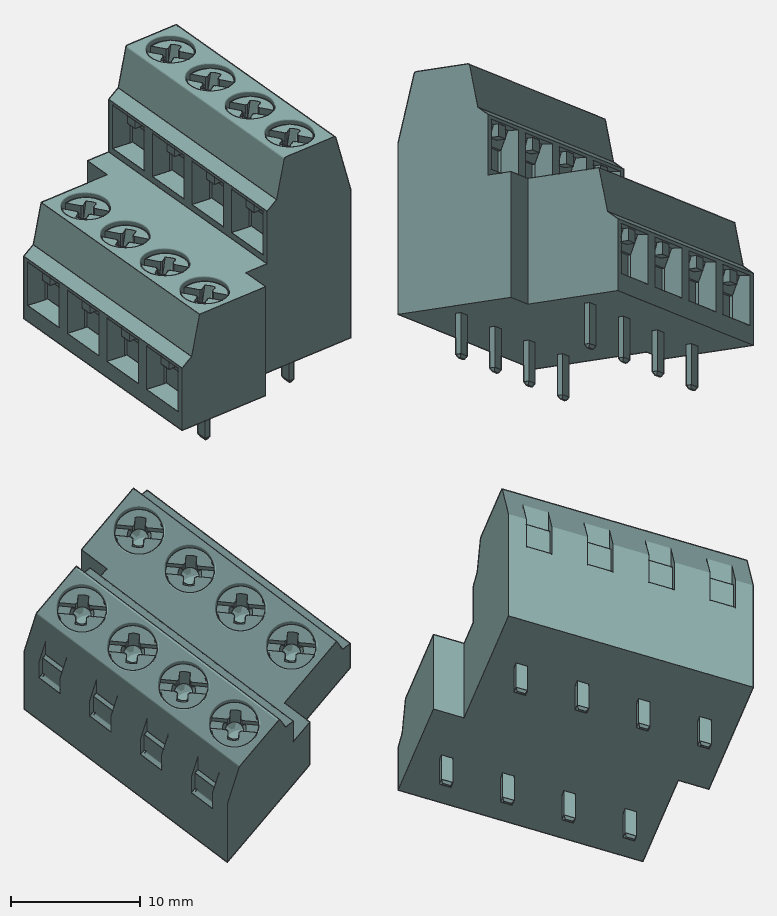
import cadquery as cq


poles = 4
total_length = 22.5
total_height = 22.6
pitch = total_length / (poles + 0.5)
half_pitch = pitch / 2
tier_length = poles * pitch
depth = 18.3
step_y = 8.11
tier_offset_y = 10.17
tier_offset_z = 9.09
lower_height = 10.0
upper_height = lower_height + tier_offset_z
brow_low_z = 5.72
brow_high_y = 0.93
brow_high_z = 6.42
top_front_y = 1.7
back_slope_z = 13.6
back_slope_depth = 1.5
top_edge_radius = 0.23

opening_size = 3.98
opening_low_z = 1.47
taper_depth = 1.25
throat_width = 2.82
throat_low_z = 1.79
throat_high_z = 3.86
throat_depth = 1.5
ceiling_flat_depth = 0.75
tab_width = 1.0
tab_height = 1.0
tab_front_y = 0.27

screw_y = 4.14
mouth_diameter = 4.05
mouth_radius = 0.14
head_sink = 0.38
head_edge_radius = 0.1
drive_angle = 33
slot_width = 0.85
slot_depth = 0.77
cross_width = 0.84
cross_top_radius = 1.25
drive_radius = 0.7
drive_depth = 1.27
drive_tip_depth = 0.3

notch_width = 2.08
notch_depth = 0.45
notch_floor_z = 10.0
ledge_depth = 0.81
ledge_z = back_slope_z
notch_fillet = 0.18
notch_fillet_inset = 0.18

pin_width = 0.95
pin_thickness = 0.47
pin_length = total_height - upper_height
pin_tip_length = 0.27
pin_tip_inset = 0.15
pin_y = 4.02
pin_row_spacing = 10.08


def tier_front(offset_y, offset_z):
    """Front outline of a tier, from the face with the wire openings up to the top."""
    points = [
        (0, brow_low_z),
        (brow_high_y, brow_high_z),
        (top_front_y, lower_height),
    ]
    return [(y + offset_y, z + offset_z) for y, z in points]


def extrude_side(points, start_x, length):
    """Extrude a Y-Z outline along X."""
    return cq.Workplane("YZ").workplane(offset=start_x).polyline(points).close().extrude(length)


def centred_bar(length_x, length_y, low_z, high_z):
    """A box centred on the Z axis between two heights."""
    return cq.Workplane("XY", origin=(0, 0, low_z)).rect(length_x, length_y).extrude(high_z - low_z)


def housing():
    lower_outline = [(0, 0)] + tier_front(0, 0) + [(step_y, lower_height), (step_y, 0)]
    upper_outline = (
        [(step_y, 0), (step_y, lower_height), (tier_offset_y, lower_height)]
        + tier_front(tier_offset_y, tier_offset_z)
        + [(depth - back_slope_depth, upper_height), (depth, back_slope_z), (depth, 0)]
    )
    upper = extrude_side(upper_outline, 0, tier_length)
    upper = upper.faces(">Z").edges("|X").fillet(top_edge_radius)
    return upper.union(extrude_side(lower_outline, half_pitch, tier_length))


def wire_opening():
    """Cutter for one wire opening, centred on X = 0 with its mouth at Y = 0."""
    opening_high_z = opening_low_z + opening_size
    opening_middle_z = (opening_low_z + opening_high_z) / 2
    funnel_end_height = opening_high_z - throat_low_z
    funnel_end_middle_z = (throat_low_z + opening_high_z) / 2
    funnel = (
        cq.Workplane("XZ", origin=(0, 0, opening_middle_z))
        .rect(opening_size, opening_size)
        .workplane(offset=-taper_depth)
        .center(0, funnel_end_middle_z - opening_middle_z)
        .rect(throat_width, funnel_end_height)
        .loft()
    )
    ceiling_slope = extrude_side(
        [
            (ceiling_flat_depth, opening_high_z),
            (taper_depth, opening_high_z),
            (taper_depth, throat_high_z),
        ],
        -opening_size / 2,
        opening_size,
    )
    throat = extrude_side(
        [
            (0, throat_low_z),
            (0, throat_high_z),
            (throat_depth, throat_high_z),
            (throat_depth, throat_low_z),
        ],
        -throat_width / 2,
        throat_width,
    )
    tab = extrude_side(
        [
            (tab_front_y, opening_high_z - tab_height),
            (tab_front_y, opening_high_z),
            (taper_depth, opening_high_z),
            (taper_depth, opening_high_z - tab_height),
        ],
        -tab_width / 2,
        tab_width,
    )
    return funnel.cut(ceiling_slope).union(throat).cut(tab)


def screw_recess():
    """Cutter for one screw, centred on the Z axis with the top of the tier at Z = 0."""
    mouth_edge = mouth_diameter / 2
    bore_radius = mouth_edge - mouth_radius
    face_z = -head_sink
    slot_z = face_z - slot_depth
    drive_z = face_z - drive_depth

    bore = (
        cq.Workplane("XZ")
        .lineTo(mouth_edge, 0)
        .radiusArc((bore_radius, -mouth_radius), -mouth_radius)
        .lineTo(bore_radius, face_z - head_edge_radius)
        .radiusArc((bore_radius - head_edge_radius, face_z), -head_edge_radius)
        .lineTo(0, face_z)
        .close()
        .revolve(360, (0, 0), (0, 1))
    )
    slot = (
        cq.Workplane("XY", origin=(0, 0, slot_z))
        .circle(bore_radius)
        .extrude(slot_depth)
        .intersect(centred_bar(mouth_diameter, slot_width, slot_z, face_z))
    )
    cross_cone = (
        cq.Workplane("XY", origin=(0, 0, drive_z))
        .circle(drive_radius)
        .workplane(offset=drive_depth)
        .circle(cross_top_radius)
        .loft()
    )
    cross_bars = centred_bar(mouth_diameter, cross_width, drive_z, face_z).union(
        centred_bar(cross_width, mouth_diameter, drive_z, face_z)
    )
    drive = (
        cq.Workplane("XZ")
        .polyline(
            [
                (0, face_z),
                (drive_radius, face_z),
                (drive_radius, drive_z),
                (0, drive_z - drive_tip_depth),
            ]
        )
        .close()
        .revolve(360, (0, 0), (0, 1))
    )
    recess = bore.union(slot).union(drive).union(cross_cone.intersect(cross_bars))
    return recess.rotate((0, 0, 0), (0, 0, 1), drive_angle)


def back_notch():
    """Cutter for one stepped notch in the back, centred on X = 0."""
    back_y = depth - notch_depth
    ledge_y = depth - ledge_depth
    notch = extrude_side(
        [
            (depth, notch_floor_z),
            (back_y, notch_floor_z),
            (back_y, ledge_z),
            (ledge_y, ledge_z),
            (ledge_y, upper_height),
            (depth, upper_height),
        ],
        -notch_width / 2,
        notch_width,
    )
    fillet_length = notch_width - 2 * notch_fillet_inset
    corner = (
        cq.Workplane("YZ", origin=(-fillet_length / 2, back_y, notch_floor_z))
        .lineTo(notch_fillet, 0)
        .radiusArc((0, notch_fillet), notch_fillet)
        .close()
        .extrude(fillet_length)
    )
    return notch.cut(corner)


def pin():
    """One solder pin below Z = 0, with a tapered tip."""
    shank_length = pin_length - pin_tip_length
    shank = cq.Workplane("XY").rect(pin_width, pin_thickness).extrude(-shank_length)
    tip = (
        cq.Workplane("XY", origin=(0, 0, -shank_length))
        .rect(pin_width, pin_thickness)
        .workplane(offset=-pin_tip_length)
        .rect(pin_width - 2 * pin_tip_inset, pin_thickness - 2 * pin_tip_inset)
        .loft()
    )
    return shank.union(tip)


result = housing()
for pole in range(poles):
    upper_x = half_pitch + pole * pitch
    lower_x = upper_x + half_pitch
    upper_screw_y = screw_y + tier_offset_y
    result = (
        result.cut(wire_opening().translate((lower_x, 0, 0)))
        .cut(wire_opening().translate((upper_x, tier_offset_y, tier_offset_z)))
        .cut(screw_recess().translate((lower_x, screw_y, lower_height)))
        .cut(screw_recess().translate((upper_x, upper_screw_y, upper_height)))
        .cut(back_notch().translate((upper_x, 0, 0)))
        .union(pin().translate((lower_x, pin_y, 0)))
        .union(pin().translate((upper_x, pin_y + pin_row_spacing, 0)))
    )